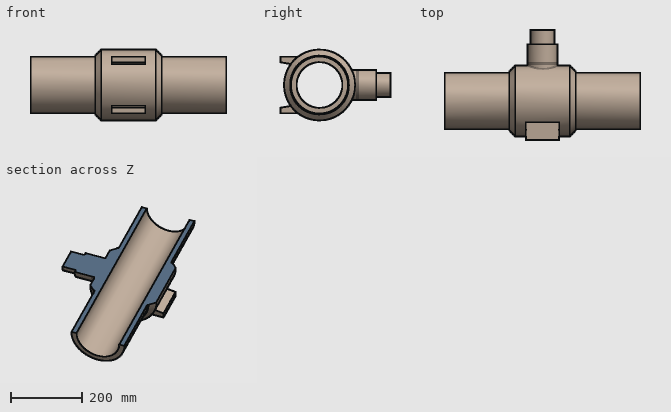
import cadquery as cq
pipe_length = 550.0
pipe_diameter = 160.0
bore_diameter = 128.0

body_diameter = 200.0
body_length = 187.0
body_chamfer = 17.0

neck_diameter = 85.0
neck_end = 160.0
neck_chamfer = 1.0
neck_root_fillet = 2.0
spigot_diameter = 68.0
spigot_end = 200.0

groove_start = 104.0
groove_width = 5.0
groove_depth = 0.1
groove_wall_run = 1.7

lug_length = 94.0
lug_end = 110.0
lug_outer_height = pipe_diameter / 2
lug_tip_thickness = 16.5
lug_root = 58.0
lug_underside_drop = 8.6


def cylinder_along_x(diameter, length):
    return cq.Workplane("YZ").circle(diameter / 2).extrude(length / 2, both=True)


def make_body():
    return cylinder_along_x(body_diameter, body_length).edges().chamfer(body_chamfer)


def make_neck():
    neck_radius = neck_diameter / 2
    spigot_radius = spigot_diameter / 2
    groove_radius = neck_radius - groove_depth
    groove_end = groove_start + groove_width
    return (
        cq.Workplane("XY")
        .moveTo(0, 0)
        .lineTo(neck_radius, 0)
        .lineTo(neck_radius, groove_start)
        .lineTo(groove_radius, groove_start + groove_wall_run)
        .lineTo(groove_radius, groove_end - groove_wall_run)
        .lineTo(neck_radius, groove_end)
        .lineTo(neck_radius, neck_end - neck_chamfer)
        .lineTo(neck_radius - neck_chamfer, neck_end)
        .lineTo(spigot_radius, neck_end)
        .lineTo(spigot_radius, spigot_end)
        .lineTo(0, spigot_end)
        .close()
        .revolve(360, (0, 0, 0), (0, 1, 0))
    )


def make_upper_lug():
    tip_underside = lug_outer_height - lug_tip_thickness
    root_underside = tip_underside - lug_underside_drop
    return (
        cq.Workplane("YZ")
        .moveTo(-lug_end, lug_outer_height)
        .lineTo(-lug_end, tip_underside)
        .lineTo(-lug_root, root_underside)
        .lineTo(-lug_root, lug_outer_height)
        .close()
        .extrude(lug_length / 2, both=True)
    )


def make_part():
    upper_lug = make_upper_lug()
    between_body_and_groove = (body_diameter / 2 + groove_start) / 2
    neck_root = cq.selectors.BoxSelector(
        (-neck_diameter, 0, -neck_diameter),
        (neck_diameter, between_body_and_groove, neck_diameter),
        boundingbox=True,
    )
    solid = make_body().union(make_neck()).edges(neck_root).fillet(neck_root_fillet)
    solid = solid.union(cylinder_along_x(pipe_diameter, pipe_length))
    solid = solid.union(upper_lug).union(upper_lug.mirror("XY"))
    return solid.cut(cylinder_along_x(bore_diameter, pipe_length))


result = make_part()